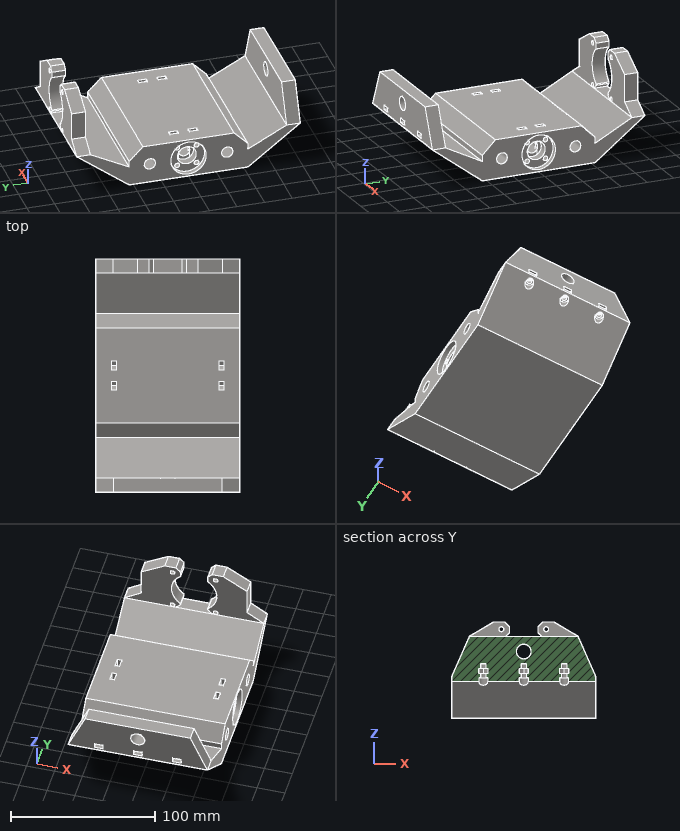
import cadquery as cq
import math

WIDTH = 100.0
LENGTH = 162.0
HALF_WIDTH = WIDTH / 2
HALF_LENGTH = LENGTH / 2
BODY_HEIGHT = 29.0
BODY_HALF_LENGTH = 43.0
TOP_CHAMFER = 10.0
AXIS_HEIGHT = BODY_HEIGHT / 2

PLATE_THICKNESS = 10.0
PLATE_INNER_Y = HALF_LENGTH - PLATE_THICKNESS
TOTAL_HEIGHT = 66.75
MOTOR_HOLE_SPACING = 31.0
MOTOR_HOLE_MARGIN = 5.0
MOTOR_HOLE_DIAMETER = 3.2
MOTOR_AXIS_HEIGHT = TOTAL_HEIGHT - MOTOR_HOLE_MARGIN - MOTOR_HOLE_SPACING / 2

FRONT_PLATE_DROP = 10.0
FRONT_PLATE_HEIGHT = TOTAL_HEIGHT - FRONT_PLATE_DROP
FRONT_TOP_HALF_WIDTH = 37.75
FRONT_BORE_DIAMETER = 10.0

JAW_OUTER = 38.0
JAW_INNER = 9.75
JAW_TOP_OUTER = 21.0
JAW_CORNER_CHAMFER = 3.25
JAW_FOOT_HEIGHT = BODY_HEIGHT + JAW_CORNER_CHAMFER
JAW_SIDE_BOTTOM = 36.5
JAW_SIDE_TOP = FRONT_PLATE_HEIGHT
MOTOR_OPENING_DIAMETER = 32.5

BORE_DIAMETER = 8.1
OUTER_BORE_OFFSET = 28.0
FLANGE_RECESS_DIAMETER = 25.5
FLANGE_RECESS_DEPTH = 4.0
HUB_RECESS_DIAMETER = 13.5
HUB_RECESS_DEPTH = 10.5
FLANGE_SCREW_DIAMETER = 3.4
FLANGE_SCREW_OFFSET = 7.0

NUT_WIDTH = 6.2
NUT_TIP = NUT_WIDTH / math.sqrt(3)
NUT_SLOT_THICKNESS = 3.2
FLANGE_NUT_X = 37.25

PLATE_SCREW_SPACING = 28.0
PLATE_SCREW_Y = -HALF_LENGTH + PLATE_THICKNESS / 2
PLATE_SCREW_DIAMETER = 3.4
SCREW_HEAD_DIAMETER = 6.0
SCREW_HEAD_CLEARANCE = 1.0
SCREW_HEAD_TOP = BODY_HEIGHT - SCREW_HEAD_CLEARANCE
PLATE_NUT_HEIGHT = 32.75
SCREW_TIP_ALLOWANCE = 5.0
PLATE_SCREW_TOP = PLATE_NUT_HEIGHT + SCREW_TIP_ALLOWANCE


def x_cylinder(diameter, y, z, x_start, x_end):
    """Cylinder along X between two X positions."""
    return cq.Workplane("YZ", origin=(x_start, y, z)).circle(diameter / 2).extrude(x_end - x_start)


def y_cylinder(diameter, x, z, y_start):
    """Cylinder along +Y, one plate thickness long."""
    return cq.Workplane("XZ", origin=(x, y_start, z)).circle(diameter / 2).extrude(-PLATE_THICKNESS)


def z_cylinder(diameter, x, y, top):
    """Cylinder from the base plane up to a given height."""
    return cq.Workplane("XY", origin=(x, y, 0)).circle(diameter / 2).extrude(top)


def make_body():
    half_profile = [
        (BODY_HALF_LENGTH, 0),
        (HALF_LENGTH, BODY_HEIGHT),
        (PLATE_INNER_Y, BODY_HEIGHT),
        (BODY_HALF_LENGTH, AXIS_HEIGHT),
        (BODY_HALF_LENGTH, BODY_HEIGHT - TOP_CHAMFER),
        (BODY_HALF_LENGTH - TOP_CHAMFER, BODY_HEIGHT),
    ]
    mirrored = [(-y, z) for y, z in reversed(half_profile)]
    profile = cq.Workplane("YZ", origin=(-HALF_WIDTH, 0, 0)).polyline(half_profile + mirrored).close()
    return profile.extrude(WIDTH)


def make_front_plate():
    outline = [
        (-HALF_WIDTH, BODY_HEIGHT),
        (HALF_WIDTH, BODY_HEIGHT),
        (FRONT_TOP_HALF_WIDTH, FRONT_PLATE_HEIGHT),
        (-FRONT_TOP_HALF_WIDTH, FRONT_PLATE_HEIGHT),
    ]
    sketch = cq.Workplane("XZ", origin=(0, -HALF_LENGTH, 0)).polyline(outline).close()
    plate = sketch.extrude(-PLATE_THICKNESS)
    return plate.cut(y_cylinder(FRONT_BORE_DIAMETER, 0, MOTOR_AXIS_HEIGHT, -HALF_LENGTH))


def make_motor_bracket():
    outline = [
        (JAW_INNER, JAW_FOOT_HEIGHT),
        (JAW_INNER + JAW_CORNER_CHAMFER, BODY_HEIGHT),
        (HALF_WIDTH, BODY_HEIGHT),
        (JAW_OUTER, JAW_SIDE_BOTTOM),
        (JAW_OUTER, JAW_SIDE_TOP),
        (JAW_TOP_OUTER, TOTAL_HEIGHT),
        (JAW_INNER + JAW_CORNER_CHAMFER, TOTAL_HEIGHT),
        (JAW_INNER, TOTAL_HEIGHT - JAW_CORNER_CHAMFER),
    ]
    sketch = cq.Workplane("XZ", origin=(0, PLATE_INNER_Y, 0)).polyline(outline).close()
    jaw = sketch.extrude(-PLATE_THICKNESS)
    jaw = jaw.cut(y_cylinder(MOTOR_OPENING_DIAMETER, 0, MOTOR_AXIS_HEIGHT, PLATE_INNER_Y))
    return jaw.union(jaw.mirror("YZ"))


def cut_motor_holes(part):
    offset = MOTOR_HOLE_SPACING / 2
    for x in (-offset, offset):
        for z in (MOTOR_AXIS_HEIGHT - offset, MOTOR_AXIS_HEIGHT + offset):
            part = part.cut(y_cylinder(MOTOR_HOLE_DIAMETER, x, z, PLATE_INNER_Y))
    return part


def nut_slot_outline(plane, length):
    """Slot outline around a nut centred on the origin, open at the far end of local Y."""
    half = NUT_WIDTH / 2
    points = [
        (0, -NUT_TIP),
        (half, -NUT_TIP / 2),
        (half, length),
        (-half, length),
        (-half, -NUT_TIP / 2),
    ]
    return plane.polyline(points).close()


def cut_bores(part):
    for y in (-OUTER_BORE_OFFSET, 0, OUTER_BORE_OFFSET):
        part = part.cut(x_cylinder(BORE_DIAMETER, y, AXIS_HEIGHT, -HALF_WIDTH, HALF_WIDTH))
    for side in (-1, 1):
        face_x = side * HALF_WIDTH
        flange_floor = side * (HALF_WIDTH - FLANGE_RECESS_DEPTH)
        hub_floor = side * (HALF_WIDTH - HUB_RECESS_DEPTH)
        part = part.cut(x_cylinder(FLANGE_RECESS_DIAMETER, 0, AXIS_HEIGHT, face_x, flange_floor))
        part = part.cut(x_cylinder(HUB_RECESS_DIAMETER, 0, AXIS_HEIGHT, face_x, hub_floor))
    return part


def cut_flange_screws(part):
    lower_nut_z = AXIS_HEIGHT - FLANGE_SCREW_OFFSET
    for y in (-FLANGE_SCREW_OFFSET, FLANGE_SCREW_OFFSET):
        for z in (lower_nut_z, AXIS_HEIGHT + FLANGE_SCREW_OFFSET):
            part = part.cut(x_cylinder(FLANGE_SCREW_DIAMETER, y, z, -HALF_WIDTH, HALF_WIDTH))
        for x in (-FLANGE_NUT_X, FLANGE_NUT_X):
            plane = cq.Workplane("YZ", origin=(x - NUT_SLOT_THICKNESS / 2, y, lower_nut_z))
            slot = nut_slot_outline(plane, BODY_HEIGHT - lower_nut_z)
            part = part.cut(slot.extrude(NUT_SLOT_THICKNESS))
    return part


def cut_plate_screws(part):
    for x in (-PLATE_SCREW_SPACING, 0, PLATE_SCREW_SPACING):
        part = part.cut(z_cylinder(SCREW_HEAD_DIAMETER, x, PLATE_SCREW_Y, SCREW_HEAD_TOP))
        part = part.cut(z_cylinder(PLATE_SCREW_DIAMETER, x, PLATE_SCREW_Y, PLATE_SCREW_TOP))
        nut_top = (x, PLATE_SCREW_Y, PLATE_NUT_HEIGHT + NUT_SLOT_THICKNESS / 2)
        plane = cq.Workplane(cq.Plane(origin=nut_top, xDir=(1, 0, 0), normal=(0, 0, -1)))
        slot = nut_slot_outline(plane, PLATE_THICKNESS / 2)
        part = part.cut(slot.extrude(NUT_SLOT_THICKNESS))
    return part


result = make_body().union(make_front_plate()).union(make_motor_bracket())
result = cut_motor_holes(result)
result = cut_bores(result)
result = cut_flange_screws(result)
result = cut_plate_screws(result)